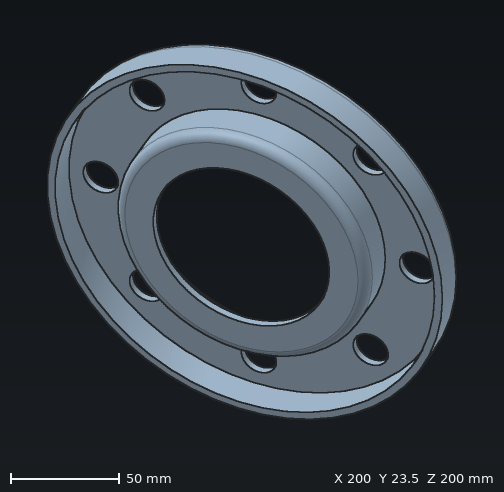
import cadquery as cq

outer_diameter = 200.0
total_depth = 23.5
rim_depth = 19.5
sheet = 4.0
bend_radius = 5.0
hub_diameter = 128.0
bore_diameter = 89.0
bolt_circle_diameter = 160.0
bolt_hole_diameter = 17.5
bolt_hole_count = 8

back_y = total_depth / 2
hub_face_y = -total_depth / 2


def disc(diameter, start_y, end_y):
    """Solid cylinder about the Y axis between two Y positions."""
    return cq.Workplane("XZ", origin=(0, end_y, 0)).circle(diameter / 2).extrude(end_y - start_y)


def rim_shell():
    """Shallow cup: flat plate with a rim turned toward -Y."""
    rim_edge_y = back_y - rim_depth
    body = disc(outer_diameter, rim_edge_y, back_y).faces(">Y").edges().fillet(bend_radius)
    cavity = disc(outer_diameter - 2 * sheet, rim_edge_y, back_y - sheet)
    return body.cut(cavity)


def hub():
    """Raised centre with a rounded front edge."""
    return disc(hub_diameter, hub_face_y, back_y).faces("<Y").edges().fillet(bend_radius)


def bolt_holes():
    """Ring of through holes in the plate."""
    return (
        cq.Workplane("XZ", origin=(0, back_y, 0))
        .polarArray(bolt_circle_diameter / 2, 0, 360, bolt_hole_count)
        .circle(bolt_hole_diameter / 2)
        .extrude(total_depth)
    )


def hub_recess():
    """Hollow behind the hub, leaving one sheet thickness at the face and wall."""
    return disc(hub_diameter - 2 * sheet, hub_face_y + sheet, back_y)


bore = disc(bore_diameter, hub_face_y, back_y)
flange = rim_shell().union(hub()).cut(hub_recess())

flange = flange.faces(">Y").edges("%CIRCLE").edges(cq.selectors.RadiusNthSelector(0)).fillet(bend_radius)

result = flange.cut(bore).cut(bolt_holes())